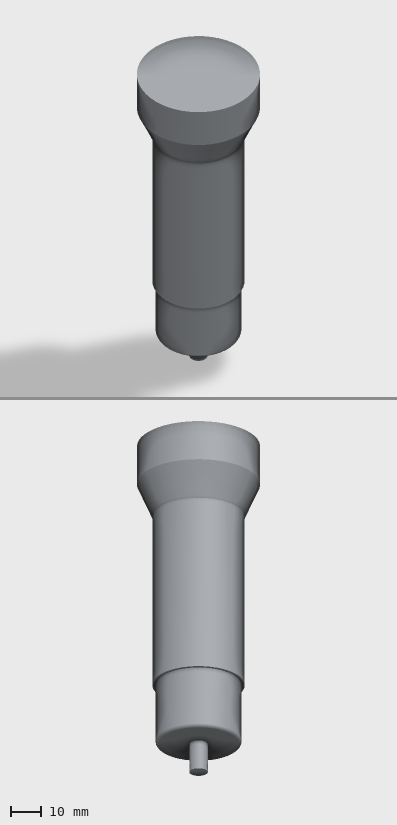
import cadquery as cq

total_length = 116.0
pin_length = 10.0
collar_length = 21.0
grip_length = 60.0
cone_length = 11.5

pin_diameter = 6.0
collar_diameter = 28.0
grip_diameter = 30.0
head_diameter = 40.0

collar_fillet = 1.0

collar_bottom = pin_length
grip_bottom = collar_bottom + collar_length
cone_bottom = grip_bottom + grip_length
head_bottom = cone_bottom + cone_length

pin_radius = pin_diameter / 2
collar_radius = collar_diameter / 2
grip_radius = grip_diameter / 2
head_radius = head_diameter / 2

half_section = (
    cq.Workplane("XZ")
    .lineTo(pin_radius, 0)
    .lineTo(pin_radius, collar_bottom)
    .lineTo(collar_radius - collar_fillet, collar_bottom)
    .tangentArcPoint((collar_fillet, collar_fillet))
    .lineTo(collar_radius, grip_bottom)
    .lineTo(grip_radius, grip_bottom)
    .lineTo(grip_radius, cone_bottom)
    .lineTo(head_radius, head_bottom)
    .lineTo(head_radius, total_length)
    .lineTo(0, total_length)
    .close()
)

result = half_section.revolve(360, (0, 0, 0), (0, 1, 0))